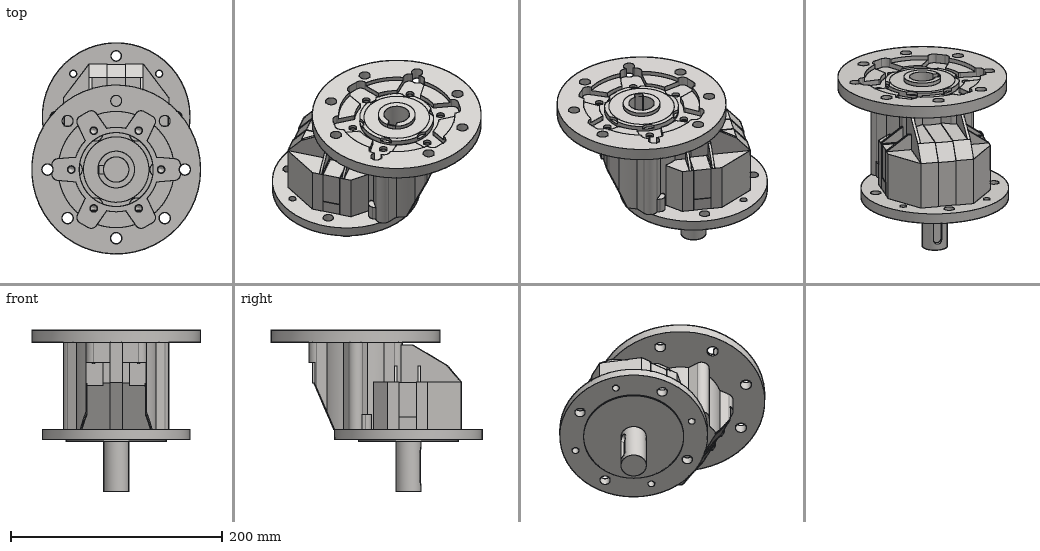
import cadquery as cq
import math

TALL = 200.0

INPUT_FLANGE_RADIUS = 80.0
INPUT_FLANGE_THICKNESS = 11.5
INPUT_HOLE_COUNT = 8
INPUT_HOLE_CIRCLE = 65.0
INPUT_HOLE_RADIUS = 5.2
RECESS_RADIUS = 55.0
RECESS_DEPTH = 4.0
STAR_DEPTH = 8.8
STAR_HUB_RADIUS = 40.0
STAR_TIP_RADIUS = 60.8
ARM_HALF_WIDTH_HUB = 11.5
ARM_HALF_WIDTH_TIP = 9.8
ARM_CORNER_RADIUS = 5.8

RING_RADIUS = 35.0
RING_TOP = -3.5
SCALLOP_CIRCLE = 38.8
SCALLOP_RADIUS = 6.8
SCALLOP_DEPTH = 2.8

HUB_RADIUS = 31.0
HUB_BOTTOM = -60.0
SLEEVE_RADIUS = 17.5
BORE_RADIUS = 12.0
BORE_DEPTH = 50.0
INPUT_KEY_WIDTH = 8.0
INPUT_KEY_REACH = 16.2
INPUT_KEY_LENGTH = 40.0

LOBE_COUNT = 6
LOBE_STEP = 360 / LOBE_COUNT
COLUMN_RADIUS = 39.5
LOBE_CIRCLE = 85.0 / 2
LOBE_RADIUS = 7.5
LOBE_FLANK_ANGLE = 60
LOBE_FLANK_LENGTH = 12.0
SCREW_HOLE_RADIUS = 3.2
SCREW_CLEARANCE_RADIUS = 3.5
SCREW_HOLE_BOTTOM = -30.5
DRILL_POINT_ANGLE = 118

STEP_Z = -30.8
STEP_FACE_Y = -38.5
RIB_FACE_Y = -41.0
RIB_BOTTOM = -50.2
RIB_OUTER_X = 12.5
GROOVE_HALF_WIDTH = 5.8
GROOVE_FACE_Y = -39.0
SLOPE = 0.43
SLOPE_FOOT_Y = -20.0
PLATE_RISE = 0.7
PLATE_INSET = 1.0

OUTPUT_AXIS_Y = 50.0
OUTPUT_FLANGE_RADIUS = 70.0
OUTPUT_FLANGE_TOP = -94.0
OUTPUT_FLANGE_THICKNESS = 9.8
OUTPUT_FLANGE_BOTTOM = OUTPUT_FLANGE_TOP - OUTPUT_FLANGE_THICKNESS
OUTPUT_HOLE_CIRCLE = 115.0 / 2
BOLT_HOLE_RADIUS = 4.8
TAPPED_HOLE_RADIUS = 3.2
SPIGOT_RADIUS = 47.5
SPIGOT_HEIGHT = 1.5
SHAFT_RADIUS = 12.0
SHAFT_END = -153.0
SHAFT_KEY_WIDTH = 8.0
SHAFT_KEY_DEPTH = 4.0
SHAFT_KEY_TOP = -111.2
SHAFT_KEY_BOTTOM = -146.8
BOSS_RADIUS = 5.8
BOSS_TOP = -79.8

CASE_HALF_WIDTH = 49.8
CASE_TOP = -49.0
CASE_BACK_Y = 100.0
CASE_SIDE_BACK_Y = 68.0
CASE_SIDE_FRONT_Y = 30.0
CASE_FRONT_CHAMFER = 13.2
SIDE_PANEL_Y = (41.0, 57.8)
SIDE_PANEL_DEPTH = 0.8
SIDE_PANEL_BOTTOM = -82.2
SIDE_PANEL_TOP_DROP = 0.5
SIDE_PANEL_FOOT_DEPTH = 0.2

COVER_HALF_WIDTH = 25.5
COVER_WALL = 2.8
COVER_TOP = -14.0
COVER_TOP_END_Y = 54.0
COVER_FLOOR = -33.5
COVER_FLOOR_END_Y = 87.0
BACK_PANEL_HALF_WIDTH = 8.5
BACK_PANEL_DEPTH = 0.5
GUSSET_TOP = -34.0
GUSSET_CREST_X = 28.8
GUSSET_THICKNESS = 2.5
GUSSET_PLACES_Y = (38.0, 60.2)


def box(x0, x1, y0, y1, z0, z1):
    """Block between opposite corners."""
    return cq.Workplane("XY").box(x1 - x0, y1 - y0, z1 - z0, centered=False).translate((x0, y0, z0))


def cylinder(radius, bottom, top, x=0.0, y=0.0):
    """Upright cylinder between two heights."""
    return cq.Workplane("XY", origin=(x, y, bottom)).circle(radius).extrude(top - bottom)


def side_prism(points_yz, x0, x1):
    """Prism along X from an outline in the YZ plane."""
    return cq.Workplane("YZ", origin=(x0, 0, 0)).polyline(points_yz).close().extrude(x1 - x0)


def both_sides(shape):
    """A shape together with its mirror image across the YZ plane."""
    return shape.union(shape.mirror("YZ"))


def around_column(shape):
    """Copies of a shape lying on +X, one per lobe."""
    copies = shape
    for i in range(1, LOBE_COUNT):
        copies = copies.union(shape.rotate((0, 0, 0), (0, 0, 1), i * LOBE_STEP))
    return copies


def lobe(radius):
    """One screw lobe on +X: a rounded nose whose flanks widen into the column."""
    angle = math.radians(LOBE_FLANK_ANGLE)
    nose_x = LOBE_CIRCLE + radius * math.cos(angle)
    nose_y = radius * math.sin(angle)
    root_x = nose_x - LOBE_FLANK_LENGTH * math.sin(angle)
    root_y = nose_y + LOBE_FLANK_LENGTH * math.cos(angle)
    return (
        cq.Workplane("XY", origin=(0, 0, OUTPUT_FLANGE_TOP))
        .moveTo(0, 0)
        .lineTo(root_x, -root_y)
        .lineTo(nose_x, -nose_y)
        .threePointArc((LOBE_CIRCLE + radius, 0), (nose_x, nose_y))
        .lineTo(root_x, root_y)
        .close()
        .extrude(-INPUT_FLANGE_THICKNESS - OUTPUT_FLANGE_TOP)
    )


def lobed_prism(inset):
    """Lobed column with its stepped front and middle rib, its lobed sides set in by the given amount."""
    top = -INPUT_FLANGE_THICKNESS
    column = cylinder(COLUMN_RADIUS - inset, OUTPUT_FLANGE_TOP, top)
    column = column.union(around_column(lobe(LOBE_RADIUS - inset)))
    front_lobe_x = LOBE_CIRCLE * math.cos(math.radians(LOBE_STEP))
    front_lobe_y = -LOBE_CIRCLE * math.sin(math.radians(LOBE_STEP))
    pad_face_y = front_lobe_y - LOBE_RADIUS
    column = column.union(box(-front_lobe_x, front_lobe_x, pad_face_y, front_lobe_y, STEP_Z, top))
    column = column.cut(box(-TALL, TALL, -TALL, STEP_FACE_Y, OUTPUT_FLANGE_TOP, STEP_Z))
    return column.union(box(-RIB_OUTER_X, RIB_OUTER_X, RIB_FACE_Y, SLOPE_FOOT_Y, OUTPUT_FLANGE_TOP, STEP_Z))


def below_slope(rise):
    """Everything in front of the sloping underside, raised outwards by the given amount."""
    foot = SLOPE_FOOT_Y - rise
    top_y = foot + SLOPE * OUTPUT_FLANGE_TOP
    outline = [(foot, OUTPUT_FLANGE_TOP), (top_y, 0), (-TALL, 0), (-TALL, OUTPUT_FLANGE_TOP)]
    wedge = side_prism(outline, -TALL, TALL)
    return wedge.intersect(box(-TALL, TALL, -TALL, 0, OUTPUT_FLANGE_TOP, STEP_Z))


def make_column():
    """Column with the sloping front, its two raised plates, the front ribs and the groove."""
    column = lobed_prism(0).cut(below_slope(0))
    groove_strip = box(-GROOVE_HALF_WIDTH, GROOVE_HALF_WIDTH, -TALL, TALL, -TALL, 0)
    plates = lobed_prism(PLATE_INSET).cut(below_slope(PLATE_RISE)).cut(groove_strip)
    ribs = both_sides(box(GROOVE_HALF_WIDTH, RIB_OUTER_X, RIB_FACE_Y, STEP_FACE_Y, RIB_BOTTOM, STEP_Z))
    groove = box(-GROOVE_HALF_WIDTH, GROOVE_HALF_WIDTH, -TALL, GROOVE_FACE_Y, -TALL, -INPUT_FLANGE_THICKNESS)
    return column.union(plates).union(ribs).cut(groove)


def make_case():
    """Six-sided gear case with a shallow panel on each side."""
    front_x = CASE_HALF_WIDTH - CASE_FRONT_CHAMFER
    front_y = CASE_SIDE_FRONT_Y - CASE_FRONT_CHAMFER
    half = [
        (COVER_HALF_WIDTH, CASE_BACK_Y),
        (CASE_HALF_WIDTH, CASE_SIDE_BACK_Y),
        (CASE_HALF_WIDTH, CASE_SIDE_FRONT_Y),
        (front_x, front_y),
    ]
    outline = half + [(-x, y) for x, y in reversed(half)]
    case = cq.Workplane("XY", origin=(0, 0, OUTPUT_FLANGE_TOP)).polyline(outline).close()
    case = case.extrude(CASE_TOP - OUTPUT_FLANGE_TOP)
    y0, y1 = SIDE_PANEL_Y
    panel = box(CASE_HALF_WIDTH - SIDE_PANEL_DEPTH, TALL, y0, y1, SIDE_PANEL_BOTTOM, CASE_TOP)
    shelf = box(COVER_HALF_WIDTH, TALL, y0, y1, CASE_TOP - SIDE_PANEL_TOP_DROP, CASE_TOP)
    foot_x = CASE_HALF_WIDTH - SIDE_PANEL_FOOT_DEPTH
    foot = box(foot_x, TALL, y0, y1, OUTPUT_FLANGE_TOP, SIDE_PANEL_BOTTOM)
    return case.cut(both_sides(panel.union(shelf).union(foot)))


def make_cover():
    """Sloping cover: low floor between two taller walls, with a shallow strip down the middle."""
    low = [
        (0, CASE_TOP),
        (CASE_BACK_Y, CASE_TOP),
        (COVER_FLOOR_END_Y, COVER_FLOOR),
        (0, COVER_FLOOR),
    ]
    wall = [
        (0, CASE_TOP),
        (COVER_FLOOR_END_Y, CASE_TOP),
        (COVER_FLOOR_END_Y, COVER_FLOOR),
        (COVER_TOP_END_Y, COVER_TOP),
        (0, COVER_TOP),
    ]
    cover = side_prism(low, -COVER_HALF_WIDTH, COVER_HALF_WIDTH)
    return cover.union(both_sides(side_prism(wall, COVER_HALF_WIDTH - COVER_WALL, COVER_HALF_WIDTH)))


def back_panel_strip():
    """Thin layer taken off the middle of the cover floor, its slope and the case back."""
    depth = BACK_PANEL_DEPTH
    inner = [
        (0, COVER_FLOOR - depth),
        (COVER_FLOOR_END_Y, COVER_FLOOR - depth),
        (CASE_BACK_Y - depth, CASE_TOP - depth),
        (CASE_BACK_Y - depth, OUTPUT_FLANGE_TOP),
        (TALL, OUTPUT_FLANGE_TOP),
        (TALL, COVER_FLOOR),
        (0, COVER_FLOOR),
    ]
    return side_prism(inner, -BACK_PANEL_HALF_WIDTH, BACK_PANEL_HALF_WIDTH)


def make_gussets():
    """Sloping gussets from the case shelf up to the cover walls."""
    inner_x = COVER_HALF_WIDTH - COVER_WALL / 2
    outline = [
        (inner_x, CASE_TOP),
        (CASE_HALF_WIDTH, CASE_TOP),
        (GUSSET_CREST_X, GUSSET_TOP),
        (inner_x, GUSSET_TOP),
    ]
    gussets = cq.Workplane("XY")
    for y in GUSSET_PLACES_Y:
        plane = cq.Workplane("XZ", origin=(0, y + GUSSET_THICKNESS / 2, 0))
        gussets = gussets.add(both_sides(plane.polyline(outline).close().extrude(GUSSET_THICKNESS)))
    return gussets.combine()


def make_star_pocket():
    """Round recess with a deeper six-armed pocket for the flange face."""
    arm = (
        cq.Workplane("XY", origin=(0, 0, -STAR_DEPTH))
        .moveTo(0, -ARM_HALF_WIDTH_HUB)
        .lineTo(STAR_HUB_RADIUS, -ARM_HALF_WIDTH_HUB)
        .lineTo(STAR_TIP_RADIUS, -ARM_HALF_WIDTH_TIP)
        .lineTo(STAR_TIP_RADIUS, ARM_HALF_WIDTH_TIP)
        .lineTo(STAR_HUB_RADIUS, ARM_HALF_WIDTH_HUB)
        .lineTo(0, ARM_HALF_WIDTH_HUB)
        .close()
        .extrude(STAR_DEPTH)
    )
    arm = arm.edges("|Z and >X").fillet(ARM_CORNER_RADIUS)
    pocket = cylinder(RECESS_RADIUS, -RECESS_DEPTH, 0)
    return pocket.union(cylinder(STAR_HUB_RADIUS, -STAR_DEPTH, 0)).union(around_column(arm))


def make_bearing_ring():
    """Raised ring around the input hub, scalloped next to each screw."""
    ring = cylinder(RING_RADIUS, -INPUT_FLANGE_THICKNESS, RING_TOP)
    scallop = cylinder(SCALLOP_RADIUS, RING_TOP - SCALLOP_DEPTH, RING_TOP, x=SCALLOP_CIRCLE)
    return ring.cut(around_column(scallop))


def make_input_flange():
    """Input flange disc with bolt holes, star pocket, opening for the bearing ring and screw holes."""
    flange = cylinder(INPUT_FLANGE_RADIUS, -INPUT_FLANGE_THICKNESS, 0)
    flange = flange.cut(make_star_pocket())
    flange = flange.cut(cylinder(RING_RADIUS, -INPUT_FLANGE_THICKNESS, 0))
    clearance = cylinder(SCREW_CLEARANCE_RADIUS, -INPUT_FLANGE_THICKNESS, 0, x=LOBE_CIRCLE)
    flange = flange.cut(around_column(clearance))
    holes = (
        cq.Workplane("XY")
        .polarArray(INPUT_HOLE_CIRCLE, 0, 360, INPUT_HOLE_COUNT)
        .circle(INPUT_HOLE_RADIUS)
        .extrude(-INPUT_FLANGE_THICKNESS)
    )
    return flange.cut(holes)


def screw_holes():
    """Blind drilled screw holes in the lobes."""
    tip = SCREW_HOLE_BOTTOM - SCREW_HOLE_RADIUS / math.tan(math.radians(DRILL_POINT_ANGLE / 2))
    profile = [
        (0, -INPUT_FLANGE_THICKNESS),
        (SCREW_HOLE_RADIUS, -INPUT_FLANGE_THICKNESS),
        (SCREW_HOLE_RADIUS, SCREW_HOLE_BOTTOM),
        (0, tip),
    ]
    hole = cq.Workplane("XZ").polyline(profile).close().revolve(360, (0, 0, 0), (0, 1, 0))
    return around_column(hole.translate((LOBE_CIRCLE, 0, 0)))


def output_hole_ring(radius, start_angle):
    """Four holes through the output flange."""
    return (
        cq.Workplane("XY", origin=(0, OUTPUT_AXIS_Y, OUTPUT_FLANGE_BOTTOM))
        .polarArray(OUTPUT_HOLE_CIRCLE, start_angle, 360, 4)
        .circle(radius)
        .extrude(OUTPUT_FLANGE_THICKNESS)
    )


def make_output_flange():
    """Output flange with spigot, four bolt holes and four smaller tapped holes between them."""
    flange = cylinder(OUTPUT_FLANGE_RADIUS, OUTPUT_FLANGE_BOTTOM, OUTPUT_FLANGE_TOP, y=OUTPUT_AXIS_Y)
    spigot_bottom = OUTPUT_FLANGE_BOTTOM - SPIGOT_HEIGHT
    flange = flange.union(cylinder(SPIGOT_RADIUS, spigot_bottom, OUTPUT_FLANGE_BOTTOM, y=OUTPUT_AXIS_Y))
    return flange.cut(output_hole_ring(BOLT_HOLE_RADIUS, 0)).cut(output_hole_ring(TAPPED_HOLE_RADIUS, 45))


def make_output_shaft():
    """Output shaft with a round-ended keyway on its +Y side."""
    shaft = cylinder(SHAFT_RADIUS, SHAFT_END, OUTPUT_FLANGE_BOTTOM, y=OUTPUT_AXIS_Y)
    floor_y = OUTPUT_AXIS_Y + SHAFT_RADIUS - SHAFT_KEY_DEPTH
    middle = (SHAFT_KEY_TOP + SHAFT_KEY_BOTTOM) / 2
    keyway = (
        cq.Workplane("XZ", origin=(0, floor_y, middle))
        .slot2D(SHAFT_KEY_TOP - SHAFT_KEY_BOTTOM, SHAFT_KEY_WIDTH, 90)
        .extrude(-SHAFT_KEY_DEPTH)
    )
    return shaft.cut(keyway)


def make_bosses():
    """Bosses above the two front tapped holes, running into the side lobes."""
    offset = OUTPUT_HOLE_CIRCLE * math.sin(math.radians(45))
    y = OUTPUT_AXIS_Y - offset
    round_end = cylinder(BOSS_RADIUS, OUTPUT_FLANGE_TOP, BOSS_TOP, x=offset, y=y)
    body = box(offset - BOSS_RADIUS, offset + BOSS_RADIUS, 0, y, OUTPUT_FLANGE_TOP, BOSS_TOP)
    return both_sides(round_end.union(body))


def make_housing():
    """Housing: column, bearing ring, gear case with cover, output flange and output shaft."""
    case = make_case().union(make_cover()).cut(back_panel_strip()).union(make_gussets())
    housing = make_column().union(case).union(make_bosses())
    housing = housing.union(make_output_flange()).union(make_bearing_ring())
    housing = housing.union(make_output_shaft()).cut(screw_holes())
    return housing.cut(cylinder(HUB_RADIUS, HUB_BOTTOM, 0))


def make_input_hub():
    """Input hub: flush disc with a raised sleeve around a blind keyed bore."""
    hub = cylinder(HUB_RADIUS, HUB_BOTTOM, RING_TOP).union(cylinder(SLEEVE_RADIUS, RING_TOP, 0))
    keyway = box(-INPUT_KEY_REACH, 0, -INPUT_KEY_WIDTH / 2, INPUT_KEY_WIDTH / 2, -INPUT_KEY_LENGTH, 0)
    return hub.cut(cylinder(BORE_RADIUS, -BORE_DEPTH, 0)).cut(keyway)


housing = make_housing()
input_flange = make_input_flange()
input_hub = make_input_hub()

result = cq.Compound.makeCompound([housing.val(), input_flange.val(), input_hub.val()])